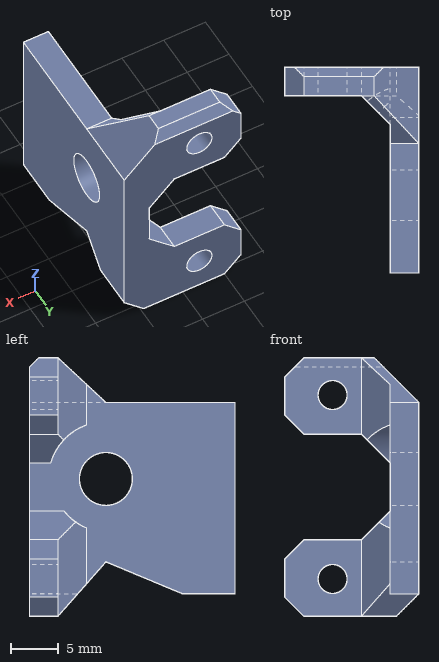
import cadquery as cq


width = 14.0
depth = 21.5
height = 27.0
wall = 3.0

plate_hole_diameter = 5.5
plate_hole_from_back = 8.0
plate_top = 8.0
plate_bottom = -12.0
plate_inner_x = width - wall
notch_z = -8.66
notch_end_from_back = 16.0

tab_top = 12.66
tab_bottom = tab_top - height
tab_height = 8.0
tab_corner = 2.0
tab_hole_diameter = 3.0
tab_hole_x = 5.0
tab_hole_inset = 3.9
back_edge_chamfer = 1.0

gusset = 3.0
gusset_start_x = plate_inner_x - gusset
upper_clearance_radius = 6.0
lower_clearance_radius = 5.5


def plan_prism():
    """L-shaped plan with a diagonal gusset in the inner corner, over the full height."""
    outline = [
        (0, 0),
        (width, 0),
        (width, -depth),
        (plate_inner_x, -depth),
        (plate_inner_x, -wall - gusset),
        (gusset_start_x, -wall),
        (0, -wall),
    ]
    return cq.Workplane("XY").workplane(offset=tab_bottom).polyline(outline).close().extrude(height)


def side_prism():
    """Plate profile in the YZ plane, flaring up and down to the tabs at the back."""
    outline = [
        (-back_edge_chamfer, tab_top),
        (0, tab_top - back_edge_chamfer),
        (0, tab_bottom),
        (-wall, tab_bottom),
        (-plate_hole_from_back, notch_z),
        (-notch_end_from_back, plate_bottom),
        (-depth, plate_bottom),
        (-depth, plate_top),
        (-plate_hole_from_back, plate_top),
        (-wall, tab_top),
    ]
    return cq.Workplane("YZ").polyline(outline).close().extrude(width)


def face_prism():
    """C-shaped profile in the XZ plane: two tabs with cut corners and the plate edge."""
    upper_tab_bottom = tab_top - tab_height
    lower_tab_top = tab_bottom + tab_height
    outline = [
        (tab_corner, tab_top),
        (width - (tab_top - plate_top), tab_top),
        (width, plate_top),
        (width, plate_bottom),
        (width - (plate_bottom - tab_bottom), tab_bottom),
        (tab_corner, tab_bottom),
        (0, tab_bottom + tab_corner),
        (0, lower_tab_top - tab_corner),
        (tab_corner, lower_tab_top),
        (gusset_start_x, lower_tab_top),
        (plate_inner_x, lower_tab_top + gusset),
        (plate_inner_x, upper_tab_bottom - gusset),
        (gusset_start_x, upper_tab_bottom),
        (tab_corner, upper_tab_bottom),
        (0, upper_tab_bottom + tab_corner),
        (0, tab_top - tab_corner),
    ]
    return cq.Workplane("XZ").polyline(outline).close().extrude(depth)


def gusset_clearance(radius, direction):
    """Half cylinder around the large hole, above (+1) or below (-1) it, up to the plate's inner face."""
    return (
        cq.Workplane("YZ")
        .moveTo(-plate_hole_from_back - radius, 0)
        .threePointArc((-plate_hole_from_back, direction * radius), (-plate_hole_from_back + radius, 0))
        .close()
        .extrude(plate_inner_x)
    )


def plate_hole():
    return (
        cq.Workplane("YZ")
        .center(-plate_hole_from_back, 0)
        .circle(plate_hole_diameter / 2)
        .extrude(width)
    )


def tab_holes():
    centers = [
        (tab_hole_x, tab_top - tab_hole_inset),
        (tab_hole_x, tab_bottom + tab_hole_inset),
    ]
    return cq.Workplane("XZ").pushPoints(centers).circle(tab_hole_diameter / 2).extrude(wall)


bracket = plan_prism().intersect(side_prism()).intersect(face_prism())
bracket = bracket.cut(gusset_clearance(upper_clearance_radius, 1))
bracket = bracket.cut(gusset_clearance(lower_clearance_radius, -1))
result = bracket.cut(plate_hole()).cut(tab_holes())